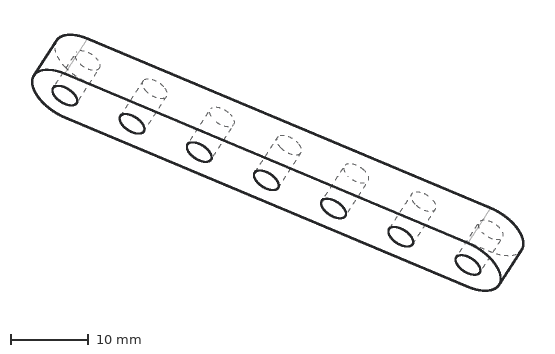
import cadquery as cq

length = 68.2
thickness = 6.35
height = 9.55
hole_diameter = 3.6
hole_count = 7

end_radius = height / 2
hole_pitch = (length - 2 * end_radius) / (hole_count - 1)

bar = cq.Workplane("XZ").slot2D(length, height).extrude(thickness / 2, both=True)

result = (
    bar.faces("<Y")
    .workplane(origin=(0, 0, 0))
    .rarray(hole_pitch, 0.7, hole_count, 1)
    .hole(hole_diameter)
)